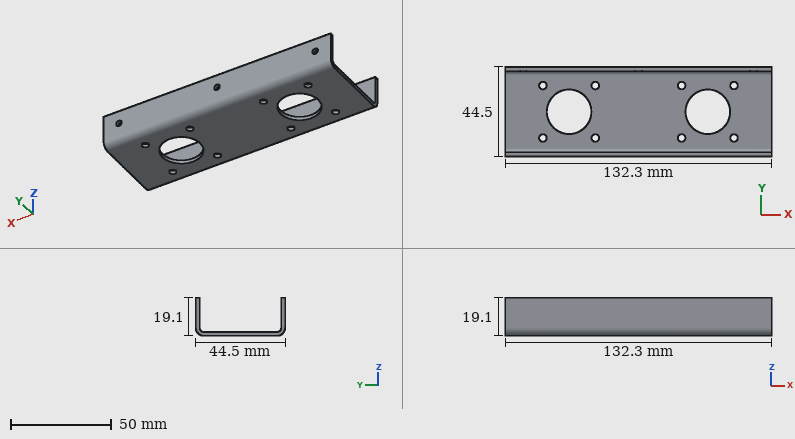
import cadquery as cq

length = 132.33
width = 44.45
height = 19.05

thickness = 2.032
inner_bend_radius = thickness
outer_bend_radius = inner_bend_radius + thickness

motor_end_margin = 31.75
motor_spacing = length - 2 * motor_end_margin
pilot_diameter = 22.0
screw_spacing = 26.0
screw_diameter = 3.66

flange_hole_diameter = 3.17
flange_hole_spacing = 57.15
flange_hole_height = (outer_bend_radius + height) / 2


def channel():
    """U-shaped channel with bent lower corners, running along X."""
    outside = (
        cq.Workplane("XY")
        .box(length, width, height, centered=(True, True, False))
        .edges("|X and <Z")
        .fillet(outer_bend_radius)
    )
    inside = (
        cq.Workplane("XY")
        .workplane(offset=thickness)
        .box(length, width - 2 * thickness, height, centered=(True, True, False))
        .edges("|X and <Z")
        .fillet(inner_bend_radius)
    )
    return outside.cut(inside)


def motor_mount_cutter(center_x):
    """Pilot bore and its square pattern of four screw holes."""
    base = cq.Workplane("XY").center(center_x, 0)
    pilot = base.circle(pilot_diameter / 2).extrude(thickness)
    screws = (
        base.rect(screw_spacing, screw_spacing, forConstruction=True)
        .vertices()
        .circle(screw_diameter / 2)
        .extrude(thickness)
    )
    return pilot.union(screws)


def flange_hole_cutter():
    """Row of three holes through the +Y flange only."""
    places = [(step * flange_hole_spacing, flange_hole_height) for step in (-1, 0, 1)]
    return (
        cq.Workplane("XZ", origin=(0, width / 2, 0))
        .pushPoints(places)
        .circle(flange_hole_diameter / 2)
        .extrude(thickness)
    )


result = channel()
for side in (-1, 1):
    result = result.cut(motor_mount_cutter(side * motor_spacing / 2))
result = result.cut(flange_hole_cutter())